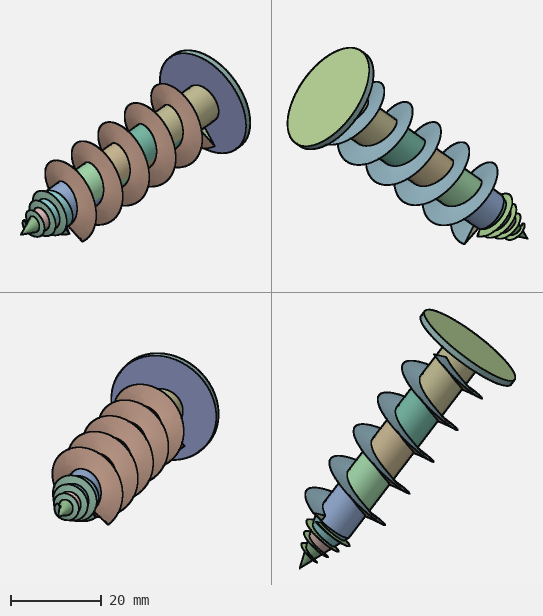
import cadquery as cq
import math

LENGTH = 63.5
PLATE_RADIUS = 12.5
PLATE_THICKNESS = 1.45
SHANK_RADIUS = 4.6
CONE_START = 51.1

START_ANGLE = -47.0
ROOT_EMBED = 0.2

COARSE_PITCH = 9.0
COARSE_TURNS = 5
COARSE_START = 4.8
COARSE_CREST_RADIUS = 9.3
COARSE_ROOT_BACK = 0.3
COARSE_ROOT_FRONT = 1.15

FINE_PITCH = 2.5
FINE_TURNS = 3.5
FINE_START = 51.75
FINE_CREST_RADIUS = 6.15
FINE_END_RADIUS = 2.2
FINE_ROOT_HALF_WIDTH = 0.4


def forward_plane(distance):
    """Plane facing the tip, at a distance from the back of the plate."""
    return cq.Plane(origin=(0, -distance, 0), xDir=(1, 0, 0), normal=(0, -1, 0))


def thread(start, pitch, turns, crest_radius, root_radius, root_back, root_front, taper=0.0):
    """Solid helical thread of triangular section; taper is the radius lost per unit of advance."""
    angle = math.atan(taper)
    helix_angle = -math.degrees(angle) if taper else 360.0
    slant = 1 / math.cos(angle)

    def helix(radius, offset):
        curve = cq.Wire.makeHelix(
            pitch * slant, pitch * turns * slant, radius, angle=helix_angle, lefthand=True
        ).Edges()[0]
        return curve.moved(cq.Location(cq.Vector(0, 0, offset)))

    corners = [
        helix(root_radius, -root_back),
        helix(crest_radius, 0),
        helix(root_radius, root_front),
    ]
    faces = [cq.Face.makeRuledSurface(corners[i - 1], corners[i]) for i in range(len(corners))]
    for at_end in (0, 1):
        section = [corner.positionAt(at_end) for corner in corners]
        faces.append(cq.Face.makeFromWires(cq.Wire.makePolygon(section, close=True)))
    solid = cq.Solid.makeSolid(cq.Shell.makeShell(faces)).fix()
    turned = solid.rotate(cq.Vector(0, 0, 0), cq.Vector(0, 0, 1), START_ANGLE)
    return turned.moved(cq.Location(forward_plane(start)))


def make_plate():
    return cq.Workplane(forward_plane(0)).circle(PLATE_RADIUS).extrude(PLATE_THICKNESS)


def make_core():
    """Cylindrical shank ending in a sharp cone."""
    return (
        cq.Workplane("XY")
        .moveTo(0, -PLATE_THICKNESS)
        .lineTo(SHANK_RADIUS, -PLATE_THICKNESS)
        .lineTo(SHANK_RADIUS, -CONE_START)
        .lineTo(0, -LENGTH)
        .close()
        .revolve(360, (0, 0, 0), (0, 1, 0))
    )


def make_coarse_thread():
    return thread(
        COARSE_START, COARSE_PITCH, COARSE_TURNS, COARSE_CREST_RADIUS,
        SHANK_RADIUS - ROOT_EMBED, COARSE_ROOT_BACK, COARSE_ROOT_FRONT,
    )


def make_fine_thread():
    taper = (FINE_CREST_RADIUS - FINE_END_RADIUS) / (FINE_PITCH * FINE_TURNS)
    cone_radius = SHANK_RADIUS * (LENGTH - FINE_START) / (LENGTH - CONE_START)
    return thread(
        FINE_START, FINE_PITCH, FINE_TURNS, FINE_CREST_RADIUS,
        cone_radius - ROOT_EMBED, FINE_ROOT_HALF_WIDTH, FINE_ROOT_HALF_WIDTH, taper,
    )


plate = make_plate()
screw = make_core()
for ridge in (make_coarse_thread(), make_fine_thread()):
    screw = screw.union(cq.Workplane(ridge))

result = cq.Compound.makeCompound([plate.val(), *screw.solids().vals()])